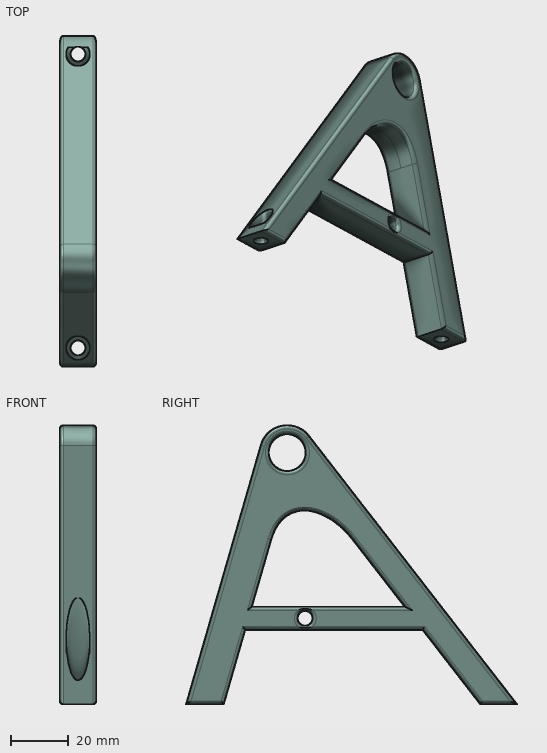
import cadquery as cq
import math


thickness = 12.7
foot_span = 114.82
total_height = 96.86
rear_foot_width = 12.7
front_foot_width = 13.1
edge_radius = 1.27

eye_radius = 9.525
eye_hole_diameter = 12.7
eye_y = 35.1
eye_z = total_height - eye_radius

bar_bottom = 25.8
bar_depth = 8.13
bar_top = bar_bottom + bar_depth
bar_hole_diameter = 5.08
bar_hole_y = 41.3
bar_hole_z = bar_bottom + bar_depth / 2

arch_spring_z = 57.1
front_arch_fullness = 0.56
rear_arch_fullness = 0.45

screw_diameter = 5.08
screw_head_diameter = 8.26
screw_seat_z = 5.08
screw_head_reach = 40.0

overshoot = 1.0


def tangent_point(toe_y, side):
    """Point where the line from a toe on the floor touches the eye circle (side is -1 or +1 in Y)."""
    to_toe = math.atan2(-eye_z, toe_y - eye_y)
    swing = math.acos(eye_radius / math.hypot(toe_y - eye_y, eye_z))
    angle = to_toe + side * swing
    return eye_y + eye_radius * math.cos(angle), eye_z + eye_radius * math.sin(angle)


front_tangent = tangent_point(0, -1)
rear_tangent = tangent_point(foot_span, 1)

front_lean = front_tangent[0] / front_tangent[1]
rear_lean = (rear_tangent[0] - foot_span) / rear_tangent[1]


def front_inner(z):
    """Point on the inner edge of the front leg at height z."""
    return front_foot_width + front_lean * z, z


def rear_inner(z):
    """Point on the inner edge of the rear leg at height z."""
    return foot_span - rear_foot_width + rear_lean * z, z


def toward(start, end, share):
    """Point a given share of the way from start to end."""
    return tuple(a + share * (b - a) for a, b in zip(start, end))


def extrude_profile(profile):
    return profile.close().extrude(thickness / 2, both=True)


def make_body():
    """Outer A outline, including the open gap between the feet."""
    profile = (
        cq.Workplane("YZ")
        .moveTo(0, 0)
        .lineTo(*front_tangent)
        .threePointArc((eye_y, total_height), rear_tangent)
        .lineTo(foot_span, 0)
        .lineTo(*rear_inner(0))
        .lineTo(*rear_inner(bar_bottom))
        .lineTo(*front_inner(bar_bottom))
        .lineTo(*front_inner(0))
    )
    return extrude_profile(profile)


def make_window():
    """Opening between the legs, closed by an arch tangent to both legs."""
    front_spring = front_inner(arch_spring_z)
    rear_spring = rear_inner(arch_spring_z)
    meeting_z = (foot_span - front_foot_width - rear_foot_width) / (front_lean - rear_lean)
    meeting = front_inner(meeting_z)
    arch = [
        front_spring,
        toward(front_spring, meeting, front_arch_fullness),
        toward(rear_spring, meeting, rear_arch_fullness),
        rear_spring,
    ]
    profile = (
        cq.Workplane("YZ")
        .moveTo(*front_inner(bar_top))
        .lineTo(*front_spring)
        .bezier(arch)
        .lineTo(*rear_inner(bar_top))
    )
    return extrude_profile(profile)


def make_rounded_hole(diameter, y, z):
    """Cutter for a hole along X whose two rims are rounded by the edge radius."""
    radius = diameter / 2
    face = thickness / 2
    rim = radius + edge_radius
    shoulder = face - edge_radius
    bend = edge_radius * math.sqrt(0.5)
    profile = (
        cq.Workplane("XY")
        .moveTo(-face, 0)
        .lineTo(-face, rim)
        .threePointArc((-shoulder - bend, rim - bend), (-shoulder, radius))
        .lineTo(shoulder, radius)
        .threePointArc((shoulder + bend, rim - bend), (face, rim))
        .lineTo(face, 0)
        .close()
    )
    return profile.revolve(360, (0, 0, 0), (1, 0, 0)).translate((0, y, z))


def make_screw_hole(y):
    """Vertical through hole with a flat-seated counterbore opening upward through the leg."""
    shank = (
        cq.Workplane("XY", origin=(0, y, -overshoot))
        .circle(screw_diameter / 2)
        .extrude(screw_seat_z + 2 * overshoot)
    )
    head = (
        cq.Workplane("XY", origin=(0, y, screw_seat_z))
        .circle(screw_head_diameter / 2)
        .extrude(screw_head_reach)
    )
    return shank.union(head)


result = make_body().cut(make_window())
result = result.faces("<X or >X").edges().fillet(edge_radius)
result = result.cut(make_rounded_hole(eye_hole_diameter, eye_y, eye_z))
result = result.cut(make_rounded_hole(bar_hole_diameter, bar_hole_y, bar_hole_z))
for screw_y in (front_foot_width / 2, foot_span - rear_foot_width / 2):
    result = result.cut(make_screw_hole(screw_y))